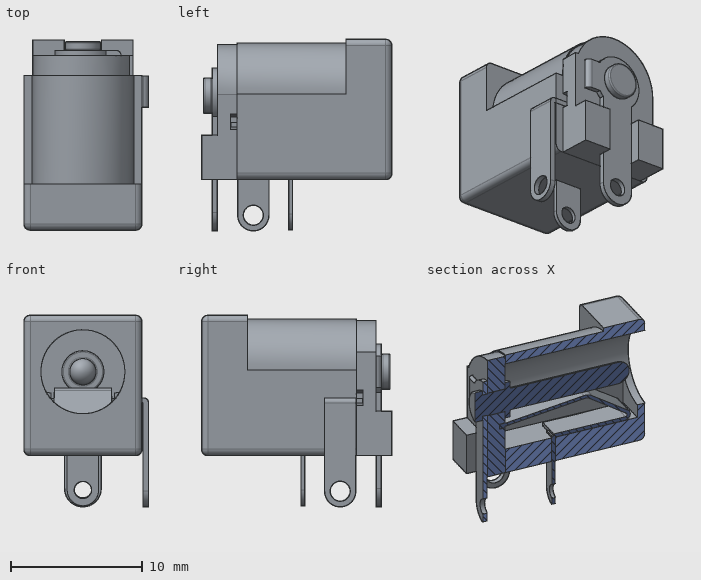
import cadquery as cq
import math


HOUSING_WIDTH = 9.0
HOUSING_TOP = 4.3
HOUSING_BOTTOM = -6.4
HOUSING_LENGTH = 11.8
FRONT_BLOCK_LENGTH = 3.5
EDGE_RADIUS = 0.5
BARREL_RADIUS = 3.88
SHOULDER_Z = 0.13
BORE_DIAMETER = 6.4
SLOT_WIDTH = 5.43
SLOT_START = 0.65

PLUG_RADIUS = 3.83
PLUG_SHOULDER_Z = 0.09
PLUG_REAR = 13.3
PLUG_LEDGE_WIDTH = 0.28
FOOT_REAR = 14.5
FOOT_TOP = -3.01
POCKET_TOP = -1.4
POCKET_BOTTOM = -2.58
POCKET_LENGTH = 0.5
POCKET_INNER_X = 2.41
POCKET_INNER_TOP = -1.62

PIN_DIAMETER = 2.0
PIN_TIP_Y = 1.27
COLLAR_DIAMETER = 3.2
COLLAR_THICKNESS = 0.44
HEAD_DIAMETER = 2.7
PIN_REAR = 14.35
PIN_EDGE_RADIUS = 0.1

PLATE = 0.4
BEND_RADIUS = PLATE * 0.99
OVERALL_HEIGHT = 14.6
LUG_BOTTOM = HOUSING_TOP - OVERALL_HEIGHT
REAR_LUG_WIDTH = 2.8
REAR_LUG_HOLE = 1.4
DISC_DIAMETER = 4.23
ARM_WIDTH = 2.4
ARM_REACH = 2.9
ARM_HOOK_LENGTH = 0.88
SIDE_LUG_WIDTH = 2.4
SIDE_LUG_HOLE = 1.5
SIDE_PLATE = 0.44
SIDE_OUTER_X = 5.01
SIDE_TOP = -1.99
SIDE_LUG_Y = 10.55
SIDE_ARM_END_X = 3.21

SPRING_PLATE = 0.3
SPRING_LUG_WIDTH = 2.4
SPRING_LUG_HOLE = 1.3
SPRING_LUG_BOTTOM = -10.2
SPRING_LUG_Y = 7.71

SPRING_FOLD_Y = 0.7
SPRING_BASE_Z = -4.13
SPRING_CREST_Y = 4.82
SPRING_CREST_Z = -1.36
FOLD_RADIUS = 0.29
CREST_RADIUS = 0.88

FOLD_LINE_Y = 1.42
SPRING_FRONT_WIDTH = 4.55
SPRING_CREST_WIDTH = 4.32
END_BAR_WIDTH = SLOT_WIDTH
END_BAR_TOP = -2.03
END_BAR_BOTTOM = -2.4
END_BAR_LENGTH = 0.45


def block(x_range, y_range, z_range):
    """Box between the given limits along each axis."""
    (x0, x1), (y0, y1), (z0, z1) = x_range, y_range, z_range
    return cq.Workplane("XY").box(x1 - x0, y1 - y0, z1 - z0, centered=False).translate((x0, y0, z0))


def rod(diameter, y_start, y_end):
    """Cylinder on the socket axis."""
    cylinder = cq.Workplane("XZ").circle(diameter / 2).extrude(y_start - y_end)
    return cylinder.translate((0, y_start, 0))


def arch(radius, side_top, y_start, y_end):
    """Straight-sided body with a half-round top, standing on the housing bottom."""
    outline = (
        cq.Workplane("XZ")
        .moveTo(-radius, HOUSING_BOTTOM)
        .lineTo(-radius, side_top)
        .threePointArc((0, side_top + radius), (radius, side_top))
        .lineTo(radius, HOUSING_BOTTOM)
        .close()
    )
    return outline.extrude(y_start - y_end).translate((0, y_start, 0))


def lug(width, hole, bottom, top, thickness):
    """Upright tab centred on X = Y = 0, with a round lower end and a hole at its centre."""
    radius = width / 2
    centre_z = bottom + radius
    return (
        cq.Workplane("XZ")
        .moveTo(-radius, top)
        .lineTo(-radius, centre_z)
        .threePointArc((0, bottom), (radius, centre_z))
        .lineTo(radius, top)
        .close()
        .moveTo(0, centre_z)
        .circle(hole / 2)
        .extrude(thickness / 2, both=True)
    )


def fillet_corner(path, corner_y, radius):
    """Round the corner of an open wire that lies at the given Y."""
    corners = [vertex for vertex in path.Vertices() if abs(vertex.Y - corner_y) < 0.0001]
    return path.fillet(radius, corners)


def make_pin():
    """Round-nosed pin with a collar in front of the plug and a rivet head behind it."""
    radius = PIN_DIAMETER / 2
    nose_end = PIN_TIP_Y + radius
    collar_front = HOUSING_LENGTH - COLLAR_THICKNESS
    head_front = PLUG_REAR + PLATE
    shank_and_nose = (
        cq.Workplane("XY")
        .moveTo(0, PIN_TIP_Y)
        .radiusArc((radius, nose_end), -radius)
        .lineTo(radius, collar_front - PIN_EDGE_RADIUS)
        .radiusArc((radius + PIN_EDGE_RADIUS, collar_front), PIN_EDGE_RADIUS)
        .lineTo(radius, collar_front)
        .lineTo(radius, PIN_REAR)
        .lineTo(0, PIN_REAR)
        .close()
        .revolve(360, (0, 0, 0), (0, 1, 0))
    )
    collar = rod(COLLAR_DIAMETER, collar_front, HOUSING_LENGTH)
    collar = collar.faces("<Y").edges().fillet(PIN_EDGE_RADIUS)
    head = rod(HEAD_DIAMETER, head_front, PIN_REAR).edges().fillet(PIN_EDGE_RADIUS)
    return shank_and_nose.union(collar).union(head)


def make_rear_terminal():
    """Disc under the rivet head, with a lug below and a hooked arm towards +X."""
    rear = PLUG_REAR + PLATE
    arm_z = (-ARM_WIDTH / 2, ARM_WIDTH / 2)
    terminal = lug(REAR_LUG_WIDTH, REAR_LUG_HOLE, LUG_BOTTOM, 0, PLATE)
    terminal = terminal.translate((0, PLUG_REAR + PLATE / 2, 0))
    hook_x = (ARM_REACH - PLATE, ARM_REACH)
    arm = block((0, ARM_REACH), (PLUG_REAR, rear), arm_z)
    arm = arm.union(block(hook_x, (PLUG_REAR - ARM_HOOK_LENGTH, rear), arm_z))
    arm = arm.edges("|Z and >X and >Y").fillet(BEND_RADIUS)
    terminal = terminal.union(rod(DISC_DIAMETER, PLUG_REAR, rear)).union(arm)
    return terminal.cut(rod(PIN_DIAMETER, PLUG_REAR, rear))


def make_side_terminal():
    """Lug beside the +X wall, bent at the top into the housing."""
    half_width = SIDE_LUG_WIDTH / 2
    upright = lug(SIDE_LUG_WIDTH, SIDE_LUG_HOLE, LUG_BOTTOM, SIDE_TOP, SIDE_PLATE)
    upright = upright.rotate((0, 0, 0), (0, 0, 1), 90)
    upright = upright.translate((SIDE_OUTER_X - SIDE_PLATE / 2, SIDE_LUG_Y, 0))
    arm = block(
        (SIDE_ARM_END_X, SIDE_OUTER_X),
        (SIDE_LUG_Y - half_width, SIDE_LUG_Y + half_width),
        (SIDE_TOP - PLATE, SIDE_TOP),
    )
    return upright.union(arm).edges("|Y and >X and >Z").fillet(BEND_RADIUS)


def make_spring():
    """Folded leaf that rises towards the pin, with a lug below and a bar at its rear end."""
    end_bar_rear = HOUSING_LENGTH + END_BAR_LENGTH
    end_bar_z = (END_BAR_TOP + END_BAR_BOTTOM) / 2
    path = cq.Wire.makePolygon(
        [
            cq.Vector(0, SPRING_LUG_Y, SPRING_BASE_Z),
            cq.Vector(0, SPRING_FOLD_Y, SPRING_BASE_Z),
            cq.Vector(0, SPRING_CREST_Y, SPRING_CREST_Z),
            cq.Vector(0, end_bar_rear, end_bar_z),
        ]
    )
    path = fillet_corner(path, SPRING_FOLD_Y, FOLD_RADIUS)
    path = fillet_corner(path, SPRING_CREST_Y, CREST_RADIUS)
    start = cq.Plane(origin=(0, SPRING_LUG_Y, SPRING_BASE_Z), xDir=(1, 0, 0), normal=(0, -1, 0))
    leaf = cq.Workplane(start).rect(SPRING_FRONT_WIDTH, SPRING_PLATE).sweep(path)

    front = SPRING_FRONT_WIDTH / 2
    crest = SPRING_CREST_WIDTH / 2
    plan = (
        cq.Workplane("XY", origin=(0, 0, SPRING_BASE_Z - SPRING_PLATE))
        .polyline(
            [
                (-front, 0),
                (front, 0),
                (front, FOLD_LINE_Y),
                (crest, SPRING_CREST_Y),
                (crest, end_bar_rear),
                (-crest, end_bar_rear),
                (-crest, SPRING_CREST_Y),
                (-front, FOLD_LINE_Y),
            ]
        )
        .close()
        .extrude(-SPRING_BASE_Z)
    )
    half_bar = END_BAR_WIDTH / 2
    end_bar = block((-half_bar, half_bar), (HOUSING_LENGTH, end_bar_rear), (END_BAR_BOTTOM, END_BAR_TOP))
    leg = lug(SPRING_LUG_WIDTH, SPRING_LUG_HOLE, SPRING_LUG_BOTTOM, SPRING_BASE_Z, SPRING_PLATE)
    return leaf.intersect(plan).union(end_bar).union(leg.translate((0, SPRING_LUG_Y, 0)))


def make_side_pocket():
    """Tapered pocket in the -X flank of the plug, reaching in to the end bar of the spring."""
    depth = PLUG_RADIUS - POCKET_INNER_X
    width = POCKET_LENGTH
    centre_y = HOUSING_LENGTH + width / 2
    return (
        cq.Workplane("YZ", origin=(-PLUG_RADIUS, 0, 0))
        .center(centre_y, (POCKET_TOP + POCKET_BOTTOM) / 2)
        .rect(width, POCKET_TOP - POCKET_BOTTOM)
        .workplane(offset=depth)
        .center(0, (POCKET_INNER_TOP + END_BAR_BOTTOM - POCKET_TOP - POCKET_BOTTOM) / 2)
        .rect(width, POCKET_INNER_TOP - END_BAR_BOTTOM)
        .loft(ruled=True)
    )


def make_plug():
    """Rear closure with a foot, a seat for the rear terminal and side pockets."""
    plug = arch(PLUG_RADIUS, PLUG_SHOULDER_Z, HOUSING_LENGTH, PLUG_REAR)
    ledge_x = PLUG_RADIUS - PLUG_LEDGE_WIDTH
    ledge_z = PLUG_SHOULDER_Z + math.sqrt(PLUG_RADIUS**2 - ledge_x**2)
    plug = plug.union(block((0, PLUG_RADIUS), (HOUSING_LENGTH, PLUG_REAR), (HOUSING_BOTTOM, ledge_z)))
    foot = block((-PLUG_RADIUS, PLUG_RADIUS), (PLUG_REAR, FOOT_REAR), (HOUSING_BOTTOM, FOOT_TOP))
    half_lug = REAR_LUG_WIDTH / 2
    foot = foot.cut(block((-half_lug, half_lug), (PLUG_REAR, FOOT_REAR), (HOUSING_BOTTOM, FOOT_TOP)))
    pocket = make_side_pocket()
    return plug.union(foot).cut(pocket).cut(pocket.mirror("YZ"))


def make_housing():
    """Front block and round-topped barrel, with the socket bore and the spring slot."""
    half_width = HOUSING_WIDTH / 2
    sides = (-half_width, half_width)
    body = block(sides, (0, HOUSING_LENGTH), (HOUSING_BOTTOM, HOUSING_TOP))
    body = body.edges("<Y or (|Y and (<X or >X))").fillet(EDGE_RADIUS)
    above_shoulder = block(sides, (FRONT_BLOCK_LENGTH, HOUSING_LENGTH), (SHOULDER_Z, HOUSING_TOP))
    body = body.cut(above_shoulder).union(arch(BARREL_RADIUS, SHOULDER_Z, EDGE_RADIUS, HOUSING_LENGTH))
    half_slot = SLOT_WIDTH / 2
    slot = block((-half_slot, half_slot), (SLOT_START, HOUSING_LENGTH), (SPRING_BASE_Z - SPRING_PLATE / 2, 0))
    return body.cut(rod(BORE_DIAMETER, 0, HOUSING_LENGTH)).cut(slot)


pin = make_pin()
rear_terminal = make_rear_terminal()
side_terminal = make_side_terminal()
spring = make_spring()

plug = make_plug().cut(pin).cut(rear_terminal).cut(spring)
housing = make_housing().cut(side_terminal).cut(spring)

result = cq.Compound.makeCompound(
    [
        housing.solids().val(),
        plug.solids().val(),
        pin.solids().val(),
        rear_terminal.solids().val(),
        side_terminal.solids().val(),
        spring.solids().val(),
    ]
)